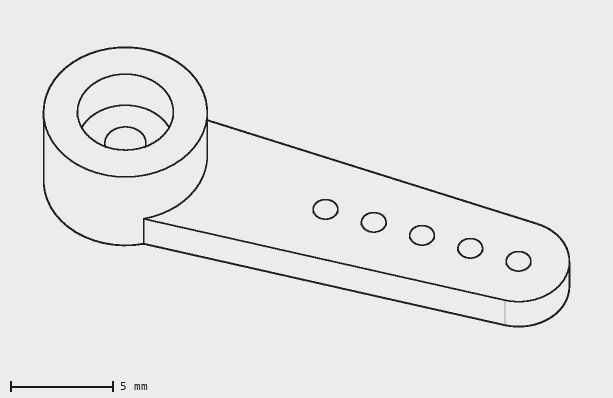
import cadquery as cq
import math

overall_length = 26.8
hub_diameter = 8.0
hub_height = 5.5
arm_thickness = 2.0
arm_root_radius = 3.5
tip_radius = 2.5
socket_diameter = 4.7
socket_depth = 2.5
screw_hole_diameter = 2.0
link_hole_diameter = 1.2
link_hole_pitch = 2.5
link_hole_count = 5

tip_x = overall_length - hub_diameter / 2 - tip_radius


def make_hub():
    return cq.Workplane("XY").circle(hub_diameter / 2).extrude(hub_height)


def make_arm():
    """Tapered arm whose straight sides run tangentially into the round tip."""
    taper_angle = math.asin((arm_root_radius - tip_radius) / tip_x)
    normal_x = math.sin(taper_angle)
    normal_y = math.cos(taper_angle)
    root_x = arm_root_radius * normal_x
    root_y = arm_root_radius * normal_y
    side_end_x = tip_x + tip_radius * normal_x
    side_end_y = tip_radius * normal_y
    return (
        cq.Workplane("XY")
        .moveTo(root_x, -root_y)
        .lineTo(side_end_x, -side_end_y)
        .threePointArc((tip_x + tip_radius, 0), (side_end_x, side_end_y))
        .lineTo(root_x, root_y)
        .close()
        .extrude(arm_thickness)
    )


def make_hub_bore():
    """Blind socket from the hub top, with a screw hole through its floor."""
    socket = (
        cq.Workplane("XY", origin=(0, 0, hub_height - socket_depth))
        .circle(socket_diameter / 2)
        .extrude(socket_depth)
    )
    screw_hole = cq.Workplane("XY").circle(screw_hole_diameter / 2).extrude(hub_height)
    return socket.union(screw_hole)


def make_link_holes():
    centers = [(tip_x - i * link_hole_pitch, 0) for i in range(link_hole_count)]
    return (
        cq.Workplane("XY")
        .pushPoints(centers)
        .circle(link_hole_diameter / 2)
        .extrude(arm_thickness)
    )


result = make_hub().union(make_arm()).cut(make_hub_bore()).cut(make_link_holes())